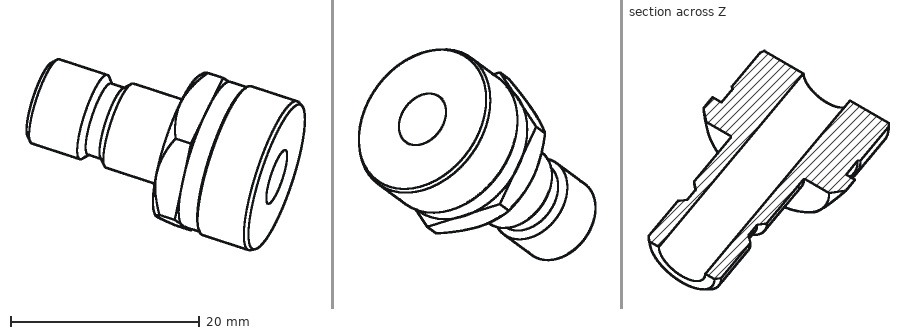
import cadquery as cq

length = 27.0
bore_diameter = 6.0

spigot_radius = 4.72
spigot_chamfer = 0.5
groove_radius = 4.0
groove_start = 6.02
groove_floor_start = 6.7
groove_floor_end = 8.3
groove_end = groove_floor_end + (spigot_radius - groove_radius)

hex_across_corners = 18.47
hex_start = 15.98
hex_end = 19.0
hex_face_radius = 7.96

neck_radius = 8.1
collar_radius = 8.35
collar_start = 21.11
collar_start_bevel = 0.15
collar_end_bevel = 0.43


def revolve_about_x(outline):
    """Solid of revolution from an (x, radius) outline that closes on the X axis."""
    return cq.Workplane("XY").polyline(outline).close().revolve(360, (0, 0, 0), (1, 0, 0))


def make_spigot():
    return revolve_about_x([
        (0, 0),
        (0, spigot_radius - spigot_chamfer),
        (spigot_chamfer, spigot_radius),
        (groove_start, spigot_radius),
        (groove_floor_start, groove_radius),
        (groove_floor_end, groove_radius),
        (groove_end, spigot_radius),
        (hex_end, spigot_radius),
        (hex_end, 0),
    ])


def make_hexagon():
    """Hexagonal prism whose corners facing the spigot are turned off by a 45 degree cone."""
    width = hex_end - hex_start
    prism = (
        cq.Workplane("YZ")
        .workplane(offset=hex_start)
        .polygon(6, hex_across_corners)
        .extrude(width)
    )
    cone = revolve_about_x([
        (hex_start, 0),
        (hex_start, hex_face_radius),
        (hex_end, hex_face_radius + width),
        (hex_end, 0),
    ])
    return prism.intersect(cone)


def make_collar():
    return revolve_about_x([
        (hex_end, 0),
        (hex_end, neck_radius),
        (collar_start, neck_radius),
        (collar_start + collar_start_bevel, collar_radius),
        (length - collar_end_bevel, collar_radius),
        (length, neck_radius),
        (length, 0),
    ])


bore = cq.Workplane("YZ").circle(bore_diameter / 2).extrude(length)

result = make_spigot().union(make_hexagon()).union(make_collar()).cut(bore)